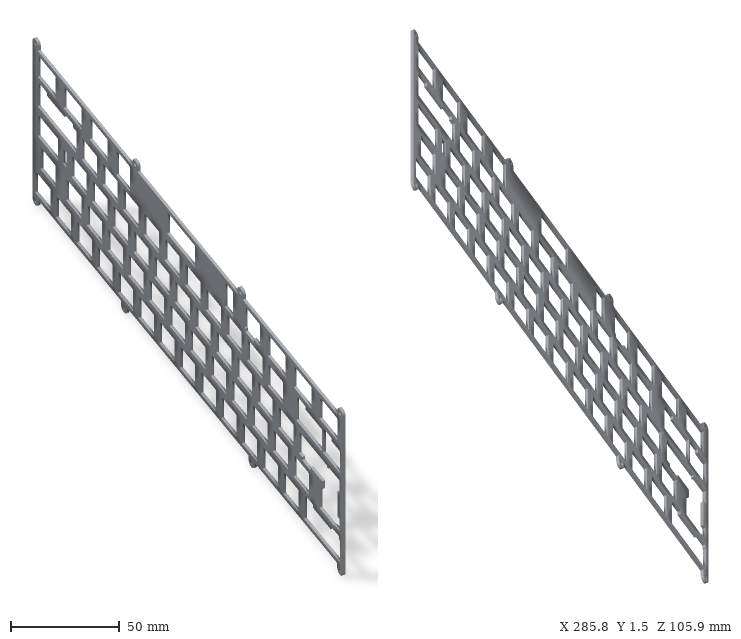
import cadquery as cq

UNIT = 19.05
COLUMNS = 15
ROWS = 5
THICKNESS = 1.5
PLATE_WIDTH = COLUMNS * UNIT
PLATE_HEIGHT = ROWS * UNIT
OUTER_HEIGHT = 105.9

SWITCH = 14.0
HALF_SWITCH = SWITCH / 2
STAB_WIDTH = 7.8
HALF_STAB = STAB_WIDTH / 2
STAB_REACH = 9.0
CORNER_RADIUS = 0.5

STAB_2U = 11.938
STAB_SPACE_6U25 = 50.0
STAB_SPACE_7U = 57.15

EAR_WIDTH = 5.0
EAR_RADIUS = EAR_WIDTH / 2
EAR_HOLE_DIAMETER = 2.2
EAR_CORNER_X = PLATE_WIDTH / 2 - EAR_RADIUS
EAR_TOP_X = 48.5
EAR_BOTTOM_X = 58.75
EAR_CENTER_Z = OUTER_HEIGHT / 2 - EAR_RADIUS
EDGE_TOLERANCE = 0.01

ENTER_TOOTH_Z = 5.8

SLOT_X = -113.2
SLOT_WIDTH = 3.4
SLOT_HEIGHT = 9.6

SPACE_Z = 2 * UNIT
SHIFT_Z = UNIT
HOME_Z = 0.0
TAB_Z = -UNIT
NUMBER_Z = -2 * UNIT


def key_x(start, size=1.0):
    """Centre X of a key that starts a number of units from the left edge."""
    return -PLATE_WIDTH / 2 + (start + size / 2) * UNIT


def block(x_min, x_max, z_min, z_max):
    """Rectangular block through the full plate thickness."""
    return cq.Workplane("XY").box(x_max - x_min, THICKNESS, z_max - z_min).translate(
        ((x_min + x_max) / 2, 0, (z_min + z_max) / 2)
    )


def opening(x_min, x_max, z_min, z_max):
    """Cutting block with rounded corners."""
    return block(x_min, x_max, z_min, z_max).edges("|Y").fillet(CORNER_RADIUS)


def cylinder(x, z, radius):
    """Cylinder along Y through the full plate thickness."""
    return (
        cq.Workplane("XZ", origin=(0, THICKNESS / 2, 0))
        .center(x, z)
        .circle(radius)
        .extrude(THICKNESS)
    )


def switch_opening(z, first_x, last_x=None):
    """Switch opening; with two centres, it spans both alternative key positions."""
    if last_x is None:
        last_x = first_x
    return opening(first_x - HALF_SWITCH, last_x + HALF_SWITCH, z - HALF_SWITCH, z + HALF_SWITCH)


def stab_opening(x, z, side=1):
    """Stabilizer opening that reaches past the switch row above (side 1) or below (side -1)."""
    z_far = z + side * STAB_REACH
    z_near = z - side * HALF_SWITCH
    return opening(x - HALF_STAB, x + HALF_STAB, min(z_far, z_near), max(z_far, z_near))


def make_ear(x, side):
    """Round-ended ear on the top (side 1) or bottom (side -1) edge."""
    z_edge = side * PLATE_HEIGHT / 2
    z_end = side * EAR_CENTER_Z
    z_root = z_edge - side * EAR_RADIUS
    stem = block(x - EAR_RADIUS, x + EAR_RADIUS, min(z_root, z_end), max(z_root, z_end))
    return stem.union(cylinder(x, z_end, EAR_RADIUS))


def at_plate_edge(edge):
    """True for an edge level with the plate's long top or bottom side, where the ears meet it."""
    return abs(abs(edge.Center().z) - PLATE_HEIGHT / 2) < EDGE_TOLERANCE


def regular_keys():
    """1u keys: (row height, start in units, number of keys)."""
    runs = [
        (SHIFT_Z, 2.25, 10),
        (HOME_Z, 1.75, 11),
        (TAB_Z, 1.5, 12),
        (NUMBER_Z, 0, 13),
    ]
    openings = []
    for z, start, count in runs:
        for index in range(count):
            openings.append(switch_opening(z, key_x(start + index)))
    openings.append(switch_opening(TAB_Z, key_x(0, 1.5)))
    return openings


def caps_lock():
    """Wide opening for a centred or a stepped caps lock."""
    return [switch_opening(HOME_Z, key_x(0, 1.25), key_x(0, 1.75))]


def space_row():
    """Modifiers for two layouts, and a 6.25u or 7u spacebar with its stabilizers."""
    openings = []
    layouts = [
        (key_x(0, 1.25), key_x(0, 1.5)),
        (key_x(1.25, 1.25), key_x(1.5, 1)),
        (key_x(2.5, 1.25), key_x(2.5, 1.5)),
    ]
    for first_x, last_x in layouts:
        openings.append(switch_opening(SPACE_Z, first_x, last_x))
        openings.append(switch_opening(SPACE_Z, -last_x, -first_x))

    short_space_x = key_x(3.75, 6.25)
    long_space_x = key_x(4, 7)
    openings.append(switch_opening(SPACE_Z, short_space_x, long_space_x))
    openings.append(switch_opening(SPACE_Z, key_x(10, 1.25)))

    stab_bottom = SPACE_Z - STAB_REACH
    stab_top = SPACE_Z + HALF_SWITCH
    left_stab_start = short_space_x - STAB_SPACE_6U25 - HALF_STAB
    left_stab_end = long_space_x - STAB_SPACE_7U + HALF_STAB
    openings.append(opening(left_stab_start, left_stab_end, stab_bottom, stab_top))
    openings.append(stab_opening(short_space_x + STAB_SPACE_6U25, SPACE_Z, -1))
    openings.append(stab_opening(long_space_x + STAB_SPACE_7U, SPACE_Z, -1))
    return openings


def stabilized_pair(z, center_x):
    """Two upward stabilizer openings either side of a key centre."""
    return [stab_opening(center_x + side * STAB_2U, z) for side in (-1, 1)]


def left_shift():
    """2.25u shift, or a 1.25u shift beside a 1u key."""
    openings = [switch_opening(SHIFT_Z, key_x(0, 1.25), key_x(1.25))]
    return openings + stabilized_pair(SHIFT_Z, key_x(0, 2.25))


def right_shift():
    """2.75u shift, or a 1.75u shift beside a 1u key; a thin wall is left in between."""
    openings = [
        switch_opening(SHIFT_Z, key_x(12.25, 1.75), key_x(12.25, 2.75)),
        switch_opening(SHIFT_Z, key_x(14)),
    ]
    return openings + stabilized_pair(SHIFT_Z, key_x(12.25, 2.75))


def backspace():
    """2u backspace, or two 1u keys."""
    openings = [switch_opening(NUMBER_Z, key_x(13), key_x(14))]
    return openings + stabilized_pair(NUMBER_Z, key_x(13, 2))


def enter():
    """Horizontal 2.25u enter merged with a tall two-row enter and its rotated stabilizers."""
    wide_x = key_x(12.75, 2.25)
    tall_x = key_x(13.75, 1.25)
    tall_z = (HOME_Z + TAB_Z) / 2
    openings = [
        switch_opening(HOME_Z, key_x(12.75), wide_x),
        stab_opening(wide_x - STAB_2U, HOME_Z, -1),
        switch_opening(TAB_Z, key_x(13.5, 1.5)),
    ]
    tall_left = tall_x - HALF_SWITCH
    tall_right = tall_x + HALF_SWITCH
    stab_end = tall_x + STAB_REACH
    upper_z = tall_z + STAB_2U
    lower_z = tall_z - STAB_2U
    openings.append(opening(tall_left, tall_right, lower_z, ENTER_TOOTH_Z))
    openings.append(opening(tall_left, stab_end, lower_z - HALF_STAB, lower_z + HALF_STAB))
    upper_left = wide_x + STAB_2U - HALF_STAB
    openings.append(opening(upper_left, stab_end, upper_z - HALF_STAB, HOME_Z + HALF_SWITCH))
    return openings


def side_slot():
    half_width = SLOT_WIDTH / 2
    half_height = SLOT_HEIGHT / 2
    return [opening(SLOT_X - half_width, SLOT_X + half_width, HOME_Z - half_height, HOME_Z + half_height)]


plate = block(-PLATE_WIDTH / 2, PLATE_WIDTH / 2, -PLATE_HEIGHT / 2, PLATE_HEIGHT / 2)

ears = []
for mirror in (-1, 1):
    ears.append((mirror * EAR_CORNER_X, 1))
    ears.append((mirror * EAR_CORNER_X, -1))
    ears.append((mirror * EAR_TOP_X, 1))
    ears.append((mirror * EAR_BOTTOM_X, -1))
for ear_x, ear_side in ears:
    plate = plate.union(make_ear(ear_x, ear_side))

ear_root_edges = plate.edges("|Y").filter(at_plate_edge)
plate = ear_root_edges.fillet(CORNER_RADIUS)

ear_holes = []
for ear_x, ear_side in ears:
    ear_holes.append(cylinder(ear_x, ear_side * EAR_CENTER_Z, EAR_HOLE_DIAMETER / 2))

cutouts = regular_keys() + caps_lock() + space_row() + left_shift()
cutouts += right_shift() + backspace() + enter() + side_slot() + ear_holes

solid_plate = plate.val()
result = cq.Workplane("XY").newObject([solid_plate.cut(*[cutout.val() for cutout in cutouts])]).solids()